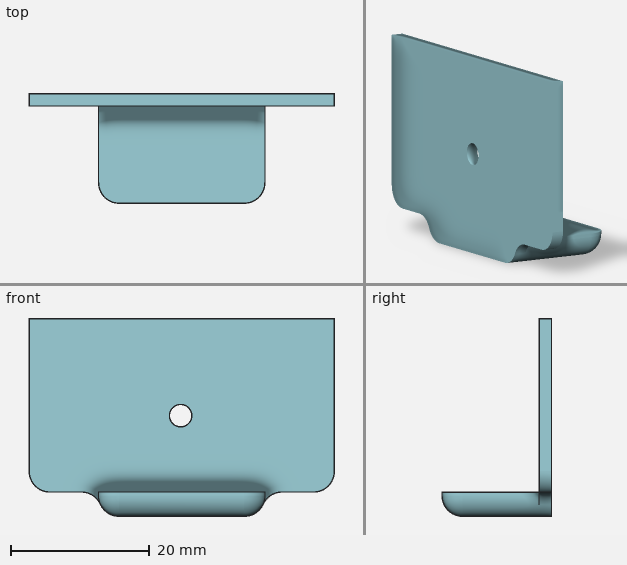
import cadquery as cq
import math

plate_width = 44.0
plate_height = 25.0
plate_thickness = 1.8
plate_corner_radius = 3.0

hole_diameter = 3.2
hole_x = -0.16
hole_z = 11.02

shelf_width = 24.0
shelf_reach = 14.0
shelf_height = 3.5
shelf_round_radius = 3.0
shelf_depth = plate_thickness + shelf_reach

blend_radius = 3.0


def make_plate():
    """Flat plate with rounded lower corners."""
    plate = cq.Workplane("XY").box(
        plate_width, plate_thickness, plate_height, centered=(True, False, False)
    )
    plate = plate.translate((0, -plate_thickness, 0))
    return plate.edges("|Y and <Z").fillet(plate_corner_radius)


def make_shelf():
    """Shelf with rounded front corners and a rounded underside, square at the back."""
    shelf = cq.Workplane("XY").box(
        shelf_width, shelf_depth, shelf_height, centered=(True, False, False)
    )
    shelf = shelf.translate((0, -shelf_depth, -shelf_height))
    front_corners = shelf.edges("|Z and <Y")
    underside_rim = shelf.faces("<Z").edges("not(|X and >Y)")
    return shelf.newObject(front_corners.vals() + underside_rim.vals()).fillet(shelf_round_radius)


def make_blend(side):
    """Web under the plate; its arc is tangent to the plate edge and to the shelf round."""
    round_x = shelf_width / 2 - shelf_round_radius
    round_z = shelf_round_radius - shelf_height
    center_distance = shelf_round_radius + blend_radius
    center_rise = round_z + blend_radius
    center_run = math.sqrt(center_distance**2 - center_rise**2)
    center_x = round_x + center_run

    tangent_share = shelf_round_radius / center_distance
    tangent_x = round_x + center_run * tangent_share
    tangent_z = round_z - center_rise * tangent_share

    end_angle = math.atan2(center_rise, -center_run)
    middle_angle = (math.pi / 2 + end_angle) / 2
    middle_x = center_x + blend_radius * math.cos(middle_angle)
    middle_z = -blend_radius + blend_radius * math.sin(middle_angle)

    return (
        cq.Workplane("XZ")
        .moveTo(side * round_x, 0)
        .lineTo(side * center_x, 0)
        .threePointArc((side * middle_x, middle_z), (side * tangent_x, tangent_z))
        .lineTo(side * round_x, tangent_z)
        .close()
        .extrude(plate_thickness)
    )


def make_hole():
    """Cylinder that cuts the hole through the plate."""
    return (
        cq.Workplane("XZ")
        .center(hole_x, hole_z)
        .circle(hole_diameter / 2)
        .extrude(plate_thickness)
    )


result = make_plate().union(make_shelf())
for side in (-1, 1):
    result = result.union(make_blend(side))
result = result.cut(make_hole())